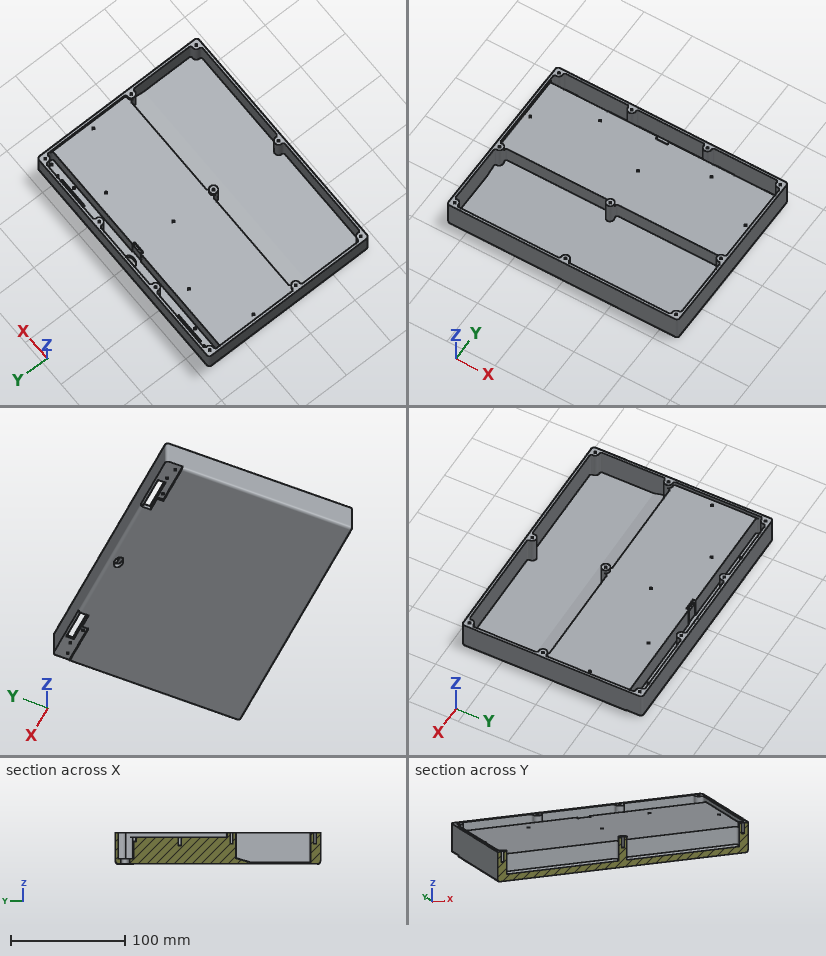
import cadquery as cq

LENGTH = 240.0
WIDTH = 180.0
HEIGHT = 27.5
CORNER_RADIUS = 3.0
BOTTOM_RADIUS = 3.0
WALL = 2.6

TRAY_FLOOR = 2.0
STRIP_FLOOR = 4.8
DECK_LEVEL = 23.8
RAMP_TOP = 7.7

BACK = WIDTH / 2
INNER_X = LENGTH / 2 - WALL
INNER_Y = WIDTH / 2 - WALL
DECK_BACK = BACK - 15.4
DECK_FRONT = -8.0
RAMP_FOOT = -27.8

BOSS_RADIUS = 4.0
BOSS_FILLET = 2.0
BOSS_INSET = 5.0
BOSS_X = LENGTH / 2 - BOSS_INSET
BOSS_Y = WIDTH / 2 - BOSS_INSET
BACK_BOSS_X = 39.4
MIDDLE_BOSS_Y = -11.8
SCREW_DIAMETER = 2.0
SCREW_DEPTH = 9.5
WALL_BOSSES = [
    (-BOSS_X, -BOSS_Y), (0, -BOSS_Y), (BOSS_X, -BOSS_Y),
    (-BOSS_X, MIDDLE_BOSS_Y), (BOSS_X, MIDDLE_BOSS_Y),
    (-BOSS_X, BOSS_Y), (-BACK_BOSS_X, BOSS_Y), (BACK_BOSS_X, BOSS_Y), (BOSS_X, BOSS_Y),
]
CENTRE_POST = (0, MIDDLE_BOSS_Y)

DECK_HOLE_DIAMETER = 2.2
DECK_HOLE_DEPTH = 7.2
DECK_HOLES = [(-57.8, 62.5), (57.8, 62.5), (-111.8, 33.4), (0, 33.4), (111.8, 33.4)]

HINGE_SEAT_DEPTH = 2.5
HINGE_SLOT_START = 23.0
HINGE_SLOT_END = 54.2
HINGE_SLOT_FRONT = 9.8
HINGE_LEAF_END = 40.8
HINGE_LEAF_FRONT = 15.8
HINGE_HOLE_DIAMETER = 2.0
HINGE_HOLES = [(6.2, 11.5), (17.8, 9.0), (35.5, 13.0)]

CABLE_WIDTH = 12.0
CABLE_HOLE_LENGTH = 7.5
CABLE_HOLE_INSET = 9.0
NOTCH_STEP_INSET = 16.0
NOTCH_INSET = 18.0
NOTCH_LEDGE_DEPTH = 3.8


def block(x_min, x_max, y_min, y_max, z_min, z_max):
    """Box given by its limits along each axis."""
    size = (x_max - x_min, y_max - y_min, z_max - z_min)
    return cq.Workplane("XY").box(*size, centered=False).translate((x_min, y_min, z_min))


def cylinders(points, diameter, z_min, z_max):
    """Vertical cylinders of one diameter at the given points."""
    plane = cq.Workplane("XY").workplane(offset=z_min)
    return plane.pushPoints(points).circle(diameter / 2).extrude(z_max - z_min)


def cavity(y_min, y_max, z_min, z_max, obstacles):
    """Space between the side walls, leaving the obstacles standing with filleted roots."""
    space = block(-INNER_X, INNER_X, y_min, y_max, z_min, z_max)
    for obstacle in obstacles:
        space = space.cut(obstacle)
    return space.edges("|Z").fillet(BOSS_FILLET)


def shell():
    body = cq.Workplane("XY").box(LENGTH, WIDTH, HEIGHT, centered=(True, True, False))
    return body.edges("|Z").fillet(CORNER_RADIUS).faces("<Z").edges().fillet(BOTTOM_RADIUS)


def front_tray(wall_bosses, post):
    """Deep tray in front of the deck, with a ramp rising to the foot of the deck."""
    side_fillers = [
        block(x_min, x_min + BOSS_INSET - WALL, MIDDLE_BOSS_Y, DECK_FRONT, 0, HEIGHT)
        for x_min in (-INNER_X, BOSS_X)
    ]
    obstacles = [wall_bosses, post] + side_fillers
    tray = cavity(-INNER_Y, DECK_FRONT, TRAY_FLOOR, DECK_LEVEL, obstacles)
    ramp_profile = [(RAMP_FOOT, TRAY_FLOOR), (DECK_FRONT, TRAY_FLOOR), (DECK_FRONT, RAMP_TOP)]
    ramp = cq.Workplane("YZ").polyline(ramp_profile).close().extrude(INNER_X, both=True)
    return tray.cut(ramp)


def back_strip(wall_bosses):
    """Narrow channel between the deck and the back wall."""
    return cavity(DECK_BACK, INNER_Y, STRIP_FLOOR, DECK_LEVEL, [wall_bosses])


def lid_recess(wall_bosses):
    """Space above the deck, open at the rim."""
    return cavity(-INNER_Y, INNER_Y, DECK_LEVEL, HEIGHT, [wall_bosses])


def hinge_cuts():
    """Stepped seat in the underside, slot and screw holes of the hinge at the -X corner."""
    side = -LENGTH / 2
    slot_end = side + HINGE_SLOT_END
    slot_front = BACK - HINGE_SLOT_FRONT
    seat = block(side, slot_end, slot_front, BACK, 0, HINGE_SEAT_DEPTH)
    leaf = block(side, side + HINGE_LEAF_END, BACK - HINGE_LEAF_FRONT, BACK, 0, HINGE_SEAT_DEPTH)
    slot = block(side + HINGE_SLOT_START, slot_end, slot_front, INNER_Y, 0, STRIP_FLOOR)
    hole_points = [(side + along, BACK - inset) for along, inset in HINGE_HOLES]
    holes = cylinders(hole_points, HINGE_HOLE_DIAMETER, 0, STRIP_FLOOR)
    return seat.union(leaf).union(slot).union(holes)


def cable_cuts():
    """Oval hole in the strip floor and stepped notch in the back edge of the deck."""
    hole = (
        cq.Workplane("XY")
        .center(0, BACK - CABLE_HOLE_INSET)
        .ellipse(CABLE_WIDTH / 2, CABLE_HOLE_LENGTH / 2)
        .extrude(STRIP_FLOOR)
    )
    half = CABLE_WIDTH / 2
    step_y = BACK - NOTCH_STEP_INSET
    ledge_level = DECK_LEVEL - NOTCH_LEDGE_DEPTH
    notch = block(-half, half, step_y, DECK_BACK, STRIP_FLOOR, DECK_LEVEL)
    ledge = block(-half, half, BACK - NOTCH_INSET, step_y, ledge_level, DECK_LEVEL)
    return hole.union(notch).union(ledge)


wall_bosses = cylinders(WALL_BOSSES, 2 * BOSS_RADIUS, 0, HEIGHT)
post = cylinders([CENTRE_POST], 2 * BOSS_RADIUS, TRAY_FLOOR, HEIGHT)

result = shell()

result = result.cut(lid_recess(wall_bosses))
result = result.cut(front_tray(wall_bosses, post))
result = result.cut(back_strip(wall_bosses))
result = result.union(post)

result = result.cut(cylinders(WALL_BOSSES + [CENTRE_POST], SCREW_DIAMETER, HEIGHT - SCREW_DEPTH, HEIGHT))
result = result.cut(cylinders(DECK_HOLES, DECK_HOLE_DIAMETER, DECK_LEVEL - DECK_HOLE_DEPTH, DECK_LEVEL))

left_hinge = hinge_cuts()
result = result.cut(left_hinge).cut(left_hinge.mirror("YZ"))
result = result.cut(cable_cuts())